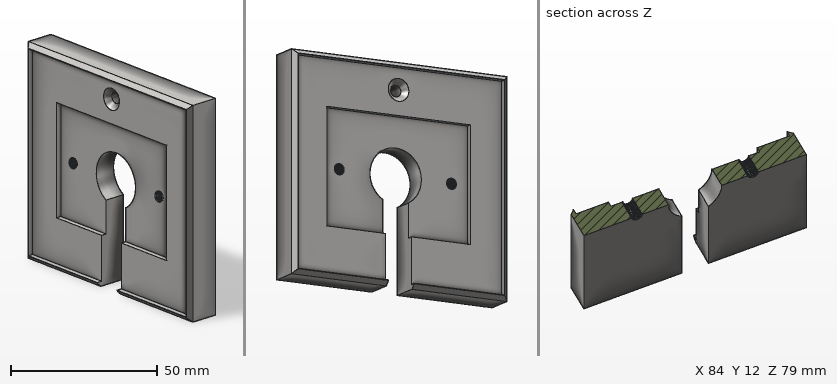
import cadquery as cq

width = 84.0
height = 79.0
thickness = 12.0
edge_chamfer = 1.6

rim_width = 1.8
recess_depth = 2.0
inner_recess_width = 56.0
inner_recess_height = 42.0
inner_recess_depth = 2.0

bore_diameter = 20.0
slot_width = 10.0

side_hole_spacing = 43.8
thread_minor_diameter = 3.3
thread_major_diameter = 4.0
thread_pitch = 0.7
groove_floor_width = thread_pitch / 8
groove_mouth_width = thread_pitch * 7 / 8
thread_start_angle = 135.0
bore_overlap = 0.05

top_hole_diameter = 4.0
top_hole_height = 30.0
countersink_diameter = 8.0
countersink_angle = 90.0

front_y = -thickness / 2
back_y = thickness / 2
recess_floor_y = front_y + recess_depth
inner_floor_y = recess_floor_y + inner_recess_depth


def plane_at(y):
    """XZ work plane at the given Y; positive extrusion goes toward -Y."""
    return cq.Workplane("XZ", origin=(0, y, 0))


def make_plate():
    blank = cq.Workplane("XY").box(width, thickness, height)
    return blank.faces("<Y").edges().chamfer(edge_chamfer)


def cut_recesses(plate):
    recess_width = width - 2 * rim_width
    recess_height = height - 2 * rim_width
    recess = plane_at(recess_floor_y).rect(recess_width, recess_height).extrude(recess_depth)
    inner = plane_at(inner_floor_y).rect(inner_recess_width, inner_recess_height).extrude(inner_recess_depth)
    return plate.cut(recess).cut(inner)


def cut_keyhole(plate):
    bore = plane_at(back_y).circle(bore_diameter / 2).extrude(thickness)
    slot_length = height / 2
    slot = plane_at(back_y).center(0, -slot_length / 2).rect(slot_width, slot_length).extrude(thickness)
    return plate.cut(bore).cut(slot)


def make_tap():
    """Cutter along +Z: a plain bore with a right-hand helical thread groove around it."""
    minor_radius = thread_minor_diameter / 2
    major_radius = thread_major_diameter / 2
    tap_length = back_y - inner_floor_y + 2 * thread_pitch
    flank_slope = (groove_mouth_width - groove_floor_width) / (major_radius - minor_radius)
    inside_radius = minor_radius - bore_overlap
    inside_width = groove_mouth_width + flank_slope * bore_overlap
    profile = cq.Workplane("XZ").polyline([
        (inside_radius, -inside_width / 2),
        (major_radius, -groove_floor_width / 2),
        (major_radius, groove_floor_width / 2),
        (inside_radius, inside_width / 2),
    ]).close()
    helix = cq.Wire.makeHelix(thread_pitch, tap_length, inside_radius)
    groove = profile.sweep(cq.Workplane(helix), isFrenet=True)
    bore = cq.Workplane("XY").workplane(offset=-thread_pitch).circle(minor_radius)
    return bore.extrude(tap_length + 2 * thread_pitch).union(groove)


def tap_side_holes(plate):
    tap = make_tap().rotate((0, 0, 0), (0, 0, 1), thread_start_angle)
    tap = tap.rotate((0, 0, 0), (1, 0, 0), -90)
    for x in (-side_hole_spacing / 2, side_hole_spacing / 2):
        plate = plate.cut(tap.translate((x, inner_floor_y - thread_pitch, 0)))
    return plate


def drill_top_hole(plate):
    recess_floor = plate.copyWorkplane(plane_at(recess_floor_y))
    spot = recess_floor.pushPoints([(0, top_hole_height)])
    return spot.cskHole(top_hole_diameter, countersink_diameter, countersink_angle)


result = make_plate()
result = cut_recesses(result)
result = cut_keyhole(result)
result = drill_top_hole(result)
result = tap_side_holes(result)